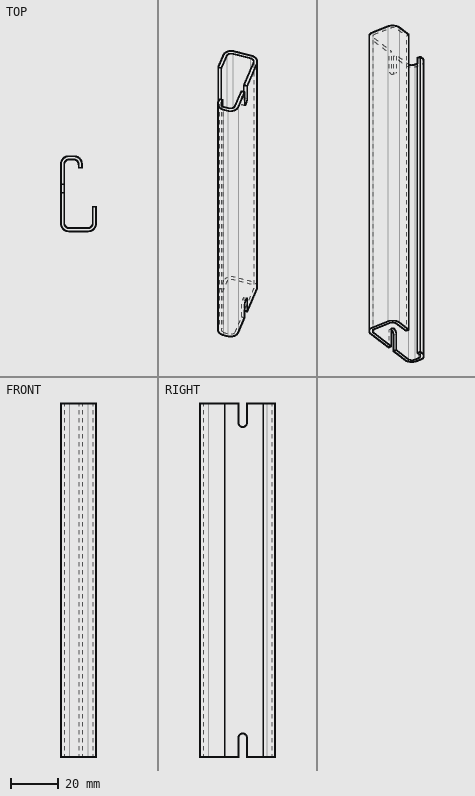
import cadquery as cq

width = 15.0
depth = 32.0
length = 150.0

thickness = 1.5
inner_bend_radius = 2.0
outer_bend_radius = inner_bend_radius + thickness

narrow_flange_width = 9.0
narrow_lip_height = 5.0
wide_lip_height = 10.5

slot_width = 3.5
slot_depth = 10.0
slot_center_from_narrow_flange = 13.8

web_face = -width / 2
wide_lip_face = width / 2
narrow_lip_face = web_face + narrow_flange_width
front_face = -depth / 2
back_face = depth / 2


def full_length_block(x_start, x_end, y_start, y_end):
    """Full-length rectangular prism between the given X and Y limits."""
    return (
        cq.Workplane("XY")
        .moveTo((x_start + x_end) / 2, (y_start + y_end) / 2)
        .rect(x_end - x_start, y_end - y_start)
        .extrude(length)
    )


def half_channel(lip_face, y_start, y_end, bend_side):
    """Web, flange and lip on one side of Y = 0, with both bends rounded."""
    outer = full_length_block(web_face, lip_face, y_start, y_end)
    outer = outer.faces(bend_side).edges("|Z").fillet(outer_bend_radius)
    inner_start = y_start + thickness if y_start < 0 else y_start
    inner_end = y_end - thickness if y_end > 0 else y_end
    inner = full_length_block(web_face + thickness, lip_face - thickness, inner_start, inner_end)
    inner = inner.faces(bend_side).edges("|Z").fillet(inner_bend_radius)
    return outer.cut(inner)


def channel():
    """Constant C section with unequal flanges and lips."""
    wide_side = half_channel(wide_lip_face, front_face, 0, "<Y")
    narrow_side = half_channel(narrow_lip_face, 0, back_face, ">Y")
    opening = full_length_block(
        web_face + thickness,
        wide_lip_face,
        front_face + wide_lip_height,
        back_face - narrow_lip_height,
    )
    return wide_side.union(narrow_side).cut(opening).clean()


def end_slot(end_z, inward):
    """Round-ended slot cutter through the web, open at the end face end_z."""
    center_y = back_face - slot_center_from_narrow_flange
    radius = slot_width / 2
    straight_end_z = end_z + inward * (slot_depth - radius)
    return (
        cq.Workplane("YZ", origin=(web_face, 0, 0))
        .moveTo(center_y - radius, end_z)
        .lineTo(center_y - radius, straight_end_z)
        .threePointArc(
            (center_y, end_z + inward * slot_depth),
            (center_y + radius, straight_end_z),
        )
        .lineTo(center_y + radius, end_z)
        .close()
        .extrude(thickness)
    )


result = channel()
for slot_end_z, slot_direction in ((0, 1), (length, -1)):
    result = result.cut(end_slot(slot_end_z, slot_direction))